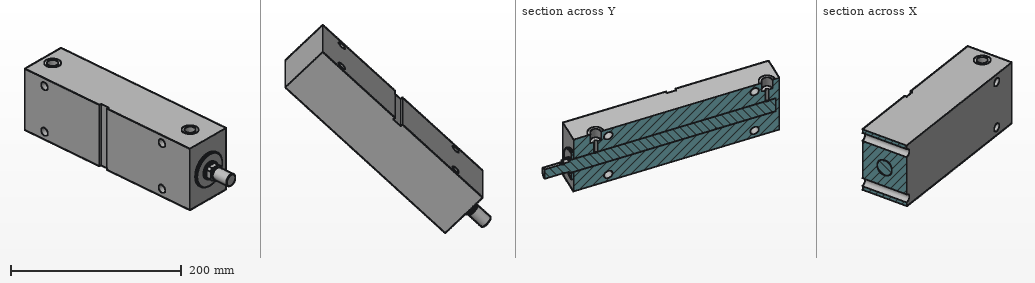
import cadquery as cq


housing_length = 263.0
housing_width = 63.0
housing_height = 85.0
front_edge_chamfer = 0.3

mount_hole_diameter = 10.5
mount_hole_start = 31.5
mount_hole_pitch_x = 187.0
mount_hole_pitch_z = 63.0

keyway_width = 12.0
keyway_depth = 3.0
keyway_start = 119.0

port_positions = (15.5, 234.5)
spotface_diameter = 20.0
spotface_depth = 0.1
port_diameter = 13.2
port_depth = 14.0
feed_diameter = 4.0

gland_diameter = 45.0
gland_thickness = 3.0
gland_chamfer = 1.0
wiper_diameter = 23.0
wiper_thickness = 2.5

rod_diameter = 20.0
rod_reach = 12.0
rod_start = 5.0
flats_width = 17.0
stud_diameter = 16.0
stud_length = 25.0
stud_chamfer = 0.8
undercut_diameter = 14.0
undercut_length = 2.0

gland_end = housing_length + gland_thickness
wiper_end = gland_end + wiper_thickness
shoulder = housing_length + rod_reach
rod_end = shoulder + stud_length


def revolve_about_rod_axis(profile):
    """Turn an (x, radius) outline into a solid of revolution about the X axis."""
    return cq.Workplane("XZ").polyline(profile).close().revolve(360, (0, 0, 0), (1, 0, 0))


def x_cylinder(diameter, start, end):
    return cq.Workplane("YZ", origin=(start, 0, 0)).circle(diameter / 2).extrude(end - start)


def vertical_drill(x, diameter, depth):
    """Round cutter going down from the top face of the housing."""
    top = cq.Workplane("XY", origin=(x, 0, housing_height / 2))
    return top.circle(diameter / 2).extrude(-depth)


def make_housing():
    block = cq.Workplane("XY").box(
        housing_length, housing_width, housing_height, centered=(False, True, True)
    )
    block = block.edges("|X and <Y").chamfer(front_edge_chamfer)

    mount_points = [
        (mount_hole_start + dx, z)
        for dx in (0, mount_hole_pitch_x)
        for z in (-mount_hole_pitch_z / 2, mount_hole_pitch_z / 2)
    ]
    mount_holes = (
        cq.Workplane("XZ")
        .pushPoints(mount_points)
        .circle(mount_hole_diameter / 2)
        .extrude(housing_width / 2, both=True)
    )

    keyway = (
        cq.Workplane("XY")
        .box(keyway_width, keyway_depth, housing_height, centered=(False, False, True))
        .translate((keyway_start, -housing_width / 2, 0))
    )

    block = block.cut(mount_holes).cut(keyway)

    for x in port_positions:
        block = block.cut(vertical_drill(x, spotface_diameter, spotface_depth))
        block = block.cut(vertical_drill(x, port_diameter, port_depth))
        block = block.cut(vertical_drill(x, feed_diameter, housing_height / 2))

    rod_bore = x_cylinder(rod_diameter, rod_start, housing_length)
    return block.cut(rod_bore)


def make_gland():
    """Flange ring on the rod-side face, chamfered on its outer rim."""
    inner = rod_diameter / 2
    outer = gland_diameter / 2
    return revolve_about_rod_axis([
        (housing_length, inner),
        (housing_length, outer),
        (gland_end - gland_chamfer, outer),
        (gland_end, outer - gland_chamfer),
        (gland_end, inner),
    ])


def make_wiper():
    """Plain ring between the gland face and the wrench flats."""
    inner = rod_diameter / 2
    outer = wiper_diameter / 2
    return revolve_about_rod_axis([
        (gland_end, inner),
        (gland_end, outer),
        (wiper_end, outer),
        (wiper_end, inner),
    ])


def make_rod():
    rod_radius = rod_diameter / 2
    stud_radius = stud_diameter / 2
    undercut_radius = undercut_diameter / 2
    stud_start = shoulder + undercut_length
    rod = revolve_about_rod_axis([
        (rod_start, 0),
        (rod_start, rod_radius),
        (shoulder, rod_radius),
        (shoulder, undercut_radius),
        (stud_start, undercut_radius),
        (stud_start + stud_radius - undercut_radius, stud_radius),
        (rod_end - stud_chamfer, stud_radius),
        (rod_end, stud_radius - stud_chamfer),
        (rod_end, 0),
    ])

    flats_length = shoulder - wiper_end
    flats_cutter = (
        cq.Workplane("YZ", origin=(wiper_end, 0, 0))
        .rect(2 * rod_diameter, 2 * rod_diameter)
        .rect(flats_width, flats_width)
        .extrude(flats_length)
    )
    return rod.cut(flats_cutter)


housing = make_housing()
gland = make_gland()
wiper = make_wiper()
rod = make_rod()

result = cq.Compound.makeCompound([housing.val(), gland.val(), wiper.val(), rod.val()])